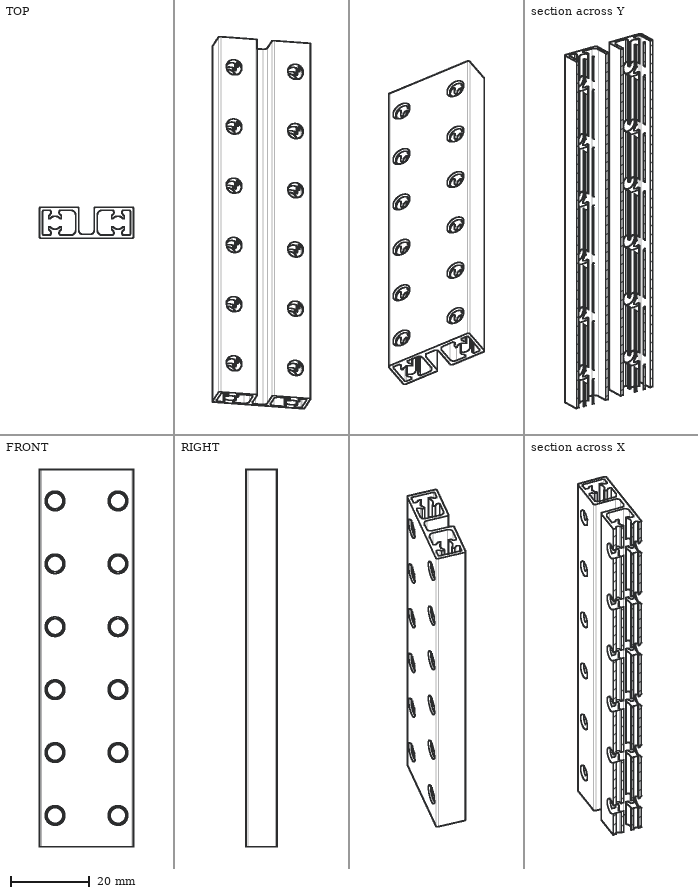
import cadquery as cq
import math

WIDTH = 24.0
DEPTH = 8.0
LENGTH = 96.0
OUTER_RADIUS = 0.5

WALL = 0.9
CHANNEL_WIDTH = 3.8
CHANNEL_FLOOR = 1.1
CHANNEL_RADIUS = 1.0
WEB_CORNER_RADIUS = 1.2
SIDE_CORNER_RADIUS = 0.3

SCREW_RADIUS = 1.6
BOSS_HALF_WIDTH = 1.6
NECK_HALF_WIDTH = 1.1
TIP_GAP = 2.0
NOTCH_DEPTH = 0.2
CLAW_SHOULDER = 1.7

HOLE_DIAMETER = 4.0
SINK_DIAMETER = 5.0
SINK_ANGLE = 45.0
HOLE_ROWS = 6
HOLE_PITCH = LENGTH / HOLE_ROWS
HOLE_X = HOLE_PITCH / 2

CHAMBER_OUTER_X = WIDTH / 2 - WALL
CHAMBER_INNER_X = CHANNEL_WIDTH / 2 + WALL
CHAMBER_HALF_DEPTH = DEPTH / 2 - WALL
SIDES = (-1, 1)


def make_body():
    """Solid bar with rounded long edges and the channel cut along its back."""
    bar = cq.Workplane("XY").rect(WIDTH, DEPTH).extrude(LENGTH)
    floor_y = -DEPTH / 2 + CHANNEL_FLOOR
    channel = (
        cq.Workplane("XY")
        .center(0, (floor_y + DEPTH / 2) / 2)
        .rect(CHANNEL_WIDTH, DEPTH / 2 - floor_y)
        .extrude(LENGTH)
        .edges("|Z and <Y")
        .fillet(CHANNEL_RADIUS)
    )
    outer_edges = "|Z and (<Y or >Y)"
    return bar.cut(channel).edges(outer_edges).fillet(OUTER_RADIUS)


def make_chamber(side):
    """Hollow chamber on one side, rounded most where it meets the web."""
    web_edges, wall_edges = ("<X", ">X") if side > 0 else (">X", "<X")
    return (
        cq.Workplane("XY")
        .center(side * (CHAMBER_INNER_X + CHAMBER_OUTER_X) / 2, 0)
        .rect(CHAMBER_OUTER_X - CHAMBER_INNER_X, 2 * CHAMBER_HALF_DEPTH)
        .extrude(LENGTH)
        .edges("|Z and " + web_edges)
        .fillet(WEB_CORNER_RADIUS)
        .edges("|Z and " + wall_edges)
        .fillet(SIDE_CORNER_RADIUS)
    )


def make_boss(x, side):
    """Necked boss whose flared claw grips a round screw channel."""
    root_y = side * (CHAMBER_HALF_DEPTH + WALL / 2)
    wall_y = side * CHAMBER_HALF_DEPTH
    shoulder_y = side * CLAW_SHOULDER
    notch_x = NECK_HALF_WIDTH + NOTCH_DEPTH
    notch_y = shoulder_y + side * (BOSS_HALF_WIDTH - notch_x)
    neck_y = (wall_y + notch_y) / 2
    tip_y = side * TIP_GAP / 2
    tip_x = math.sqrt(SCREW_RADIUS**2 - tip_y**2)
    return (
        cq.Workplane("XY")
        .center(x, 0)
        .moveTo(-notch_x, root_y)
        .lineTo(-notch_x, wall_y)
        .threePointArc((-NECK_HALF_WIDTH, neck_y), (-notch_x, notch_y))
        .lineTo(-BOSS_HALF_WIDTH, shoulder_y)
        .lineTo(-BOSS_HALF_WIDTH, tip_y)
        .lineTo(-tip_x, tip_y)
        .threePointArc((0, side * SCREW_RADIUS), (tip_x, tip_y))
        .lineTo(BOSS_HALF_WIDTH, tip_y)
        .lineTo(BOSS_HALF_WIDTH, shoulder_y)
        .lineTo(notch_x, notch_y)
        .threePointArc((NECK_HALF_WIDTH, neck_y), (notch_x, wall_y))
        .lineTo(notch_x, root_y)
        .close()
        .extrude(LENGTH)
    )


def make_holes():
    """Through holes with shallow countersinks on the front face."""
    sink_depth = (SINK_DIAMETER - HOLE_DIAMETER) / 2 / math.tan(math.radians(SINK_ANGLE))
    centers = [
        (side * HOLE_X, (row + 0.5) * HOLE_PITCH)
        for side in SIDES
        for row in range(HOLE_ROWS)
    ]
    front = cq.Workplane("XZ", origin=(0, -DEPTH / 2, 0)).pushPoints(centers)
    drills = front.circle(HOLE_DIAMETER / 2).extrude(-DEPTH)
    sinks = front.circle(SINK_DIAMETER / 2).extrude(-sink_depth, taper=SINK_ANGLE)
    return drills.union(sinks)


result = make_body()
for side in SIDES:
    result = result.cut(make_chamber(side))
    for face in SIDES:
        result = result.union(make_boss(side * HOLE_X, face))
result = result.cut(make_holes())